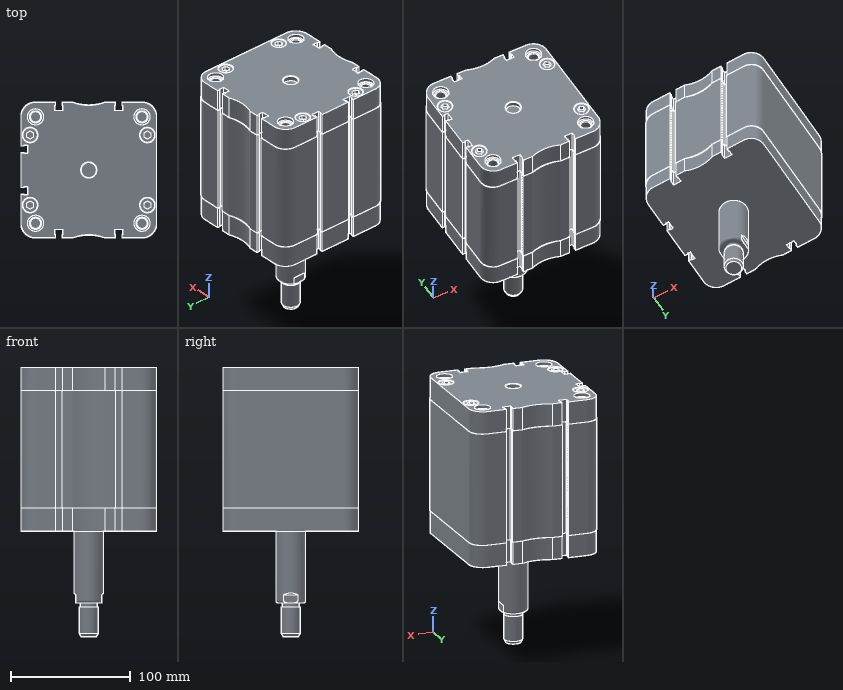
import cadquery as cq
import math

cap_side = 113.2
tube_side = 113.5
total_length = 225.0
cap_height = 19.5
tube_height = 97.9

housing_top = total_length
tube_top = housing_top - cap_height
tube_bottom = tube_top - tube_height
housing_bottom = tube_bottom - cap_height

cap_corner_radius = 12.4
tube_corner_radius = 11.7
hollow_half_width = 13.5
cap_hollow_depth = 2.7
tube_hollow_depth = 2.2

cap_mouth_width = 5.8
tube_mouth_width = 5.2
lip_overhang = 0.7
lip_depth = 2.7
side_slot_depth = 7.0
side_slot_offset = 25.0
end_slot_depth = 5.6
end_slot_offset = 17.3

mounting_spacing = 88.9
mounting_counterbore_diameter = 13.5
mounting_counterbore_depth = 3.2
mounting_hole_diameter = 8.5
mounting_chamfer = 0.79

screw_spacing_x = 97.9
screw_spacing_y = 58.5
screw_rim_diameter = 13.0
screw_face_diameter = 12.2
screw_face_depth = 0.5
socket_across_flats = 5.8
socket_depth = 3.4

center_hole_diameter = 12.5
center_rim_diameter = 13.5
center_hole_depth = 4.7

rod_diameter = 25.0
rod_length = 59.8
shoulder_rounding = 2.0
neck_diameter = 14.5
neck_length = 3.4
neck_rounding = 0.7
thread_diameter = 16.0
tip_diameter = 13.0
tip_chamfer_length = 3.0
flats_width = 22.0
flats_length = 7.0


def slot_cutter(mouth_width, depth, height):
    """A slot that opens toward +Y at the origin."""
    mouth = cq.Workplane("XY").rect(mouth_width, 2 * lip_depth).extrude(height)
    inner_width = mouth_width + 2 * lip_overhang
    inner_depth = depth - lip_depth
    inner = (
        cq.Workplane("XY")
        .center(0, -lip_depth - inner_depth / 2)
        .rect(inner_width, inner_depth)
        .extrude(height)
    )
    return mouth.union(inner)


def profile_block(side, bottom, height, corner_radius, hollow_depth, mouth_width):
    """A length of the square profile with its hollows and slots."""
    half_side = side / 2
    block = cq.Workplane("XY").rect(side, side).extrude(height)
    block = block.edges("|Z").fillet(corner_radius)
    hollow = (
        cq.Workplane("XY")
        .moveTo(-hollow_half_width, half_side)
        .threePointArc((0, half_side - hollow_depth), (hollow_half_width, half_side))
        .close()
        .extrude(height)
    )
    side_slot = slot_cutter(mouth_width, side_slot_depth, height)
    for angle in (0, 180):
        block = block.cut(hollow.rotate((0, 0, 0), (0, 0, 1), angle))
        for x in (-side_slot_offset, side_slot_offset):
            slot = side_slot.translate((x, half_side, 0))
            block = block.cut(slot.rotate((0, 0, 0), (0, 0, 1), angle))
    end_slot = slot_cutter(mouth_width, end_slot_depth, height).rotate((0, 0, 0), (0, 0, 1), 90)
    for y in (-end_slot_offset, end_slot_offset):
        block = block.cut(end_slot.translate((-half_side, y, 0)))
    return block.translate((0, 0, bottom))


def cone_cutter(top_diameter, bottom_diameter, top, depth):
    """A round tapered cutter whose wide end is at the given height."""
    return (
        cq.Workplane("XY", origin=(0, 0, top))
        .circle(top_diameter / 2)
        .workplane(offset=-depth)
        .circle(bottom_diameter / 2)
        .loft()
    )


def mounting_hole_cutter():
    """A counterbored hole with a chamfered step, right through a cap."""
    counterbore = (
        cq.Workplane("XY", origin=(0, 0, cap_height))
        .circle(mounting_counterbore_diameter / 2)
        .extrude(-mounting_counterbore_depth)
    )
    chamfer = cone_cutter(
        mounting_hole_diameter + 2 * mounting_chamfer,
        mounting_hole_diameter,
        cap_height - mounting_counterbore_depth,
        mounting_chamfer,
    )
    hole = cq.Workplane("XY").circle(mounting_hole_diameter / 2).extrude(cap_height)
    return hole.union(counterbore).union(chamfer)


def screw_head_cutter():
    """The sunken face of a screw head and its hexagon socket."""
    face = cone_cutter(screw_rim_diameter, screw_face_diameter, cap_height, screw_face_depth)
    socket = (
        cq.Workplane("XY", origin=(0, 0, cap_height))
        .polygon(6, socket_across_flats / math.cos(math.pi / 6))
        .extrude(-screw_face_depth - socket_depth)
        .rotate((0, 0, 0), (0, 0, 1), 30)
    )
    return face.union(socket)


def cut_at_corners(block, cutter, spacing_x, spacing_y):
    """Cut the same shape at the four corners of a centred rectangle."""
    for x in (-spacing_x / 2, spacing_x / 2):
        for y in (-spacing_y / 2, spacing_y / 2):
            block = block.cut(cutter.translate((x, y, 0)))
    return block


def make_rear_cap():
    cap = profile_block(
        cap_side, 0, cap_height, cap_corner_radius, cap_hollow_depth, cap_mouth_width
    )
    cap = cut_at_corners(cap, mounting_hole_cutter(), mounting_spacing, mounting_spacing)
    cap = cut_at_corners(cap, screw_head_cutter(), screw_spacing_x, screw_spacing_y)
    rim_depth = (center_rim_diameter - center_hole_diameter) / 2
    rim = cone_cutter(center_rim_diameter, center_hole_diameter, cap_height, rim_depth)
    hole = (
        cq.Workplane("XY", origin=(0, 0, cap_height))
        .circle(center_hole_diameter / 2)
        .extrude(-center_hole_depth)
    )
    return cap.cut(rim).cut(hole).translate((0, 0, tube_top))


def make_tube():
    return profile_block(
        tube_side, tube_bottom, tube_height, tube_corner_radius, tube_hollow_depth, tube_mouth_width
    )


def make_front_cap():
    cap = profile_block(
        cap_side, housing_bottom, cap_height, cap_corner_radius, cap_hollow_depth, cap_mouth_width
    )
    bore = (
        cq.Workplane("XY", origin=(0, 0, housing_bottom))
        .circle(rod_diameter / 2)
        .extrude(cap_height)
    )
    return cap.cut(bore)


def make_rod():
    """The stepped rod, from the tube down to the threaded tip."""
    rod_radius = rod_diameter / 2
    neck_radius = neck_diameter / 2
    thread_radius = thread_diameter / 2
    shoulder = housing_bottom - rod_length
    thread_top = shoulder - neck_length
    rod = (
        cq.Workplane("XZ")
        .moveTo(0, tube_bottom)
        .lineTo(rod_radius, tube_bottom)
        .lineTo(rod_radius, shoulder + shoulder_rounding)
        .radiusArc((rod_radius - shoulder_rounding, shoulder), shoulder_rounding)
        .lineTo(neck_radius + neck_rounding, shoulder)
        .radiusArc((neck_radius, shoulder - neck_rounding), -neck_rounding)
        .lineTo(neck_radius, thread_top + neck_rounding)
        .radiusArc((neck_radius + neck_rounding, thread_top), -neck_rounding)
        .lineTo(thread_radius, thread_top)
        .lineTo(thread_radius, tip_chamfer_length)
        .lineTo(tip_diameter / 2, 0)
        .lineTo(0, 0)
        .close()
        .revolve(360, (0, 0, 0), (0, 1, 0))
    )
    ramp = rod_radius - flats_width / 2
    flats_top = shoulder + flats_length
    flat = (
        cq.Workplane("XZ")
        .moveTo(flats_width / 2, shoulder)
        .lineTo(flats_width / 2, flats_top)
        .lineTo(rod_radius, flats_top + ramp)
        .lineTo(rod_radius, shoulder)
        .close()
        .extrude(rod_radius, both=True)
    )
    return rod.cut(flat).cut(flat.mirror("YZ"))


rear_cap = make_rear_cap()
tube = make_tube()
front_cap = make_front_cap()
rod = make_rod()

result = cq.Compound.makeCompound([rear_cap.val(), tube.val(), front_cap.val(), rod.val()])